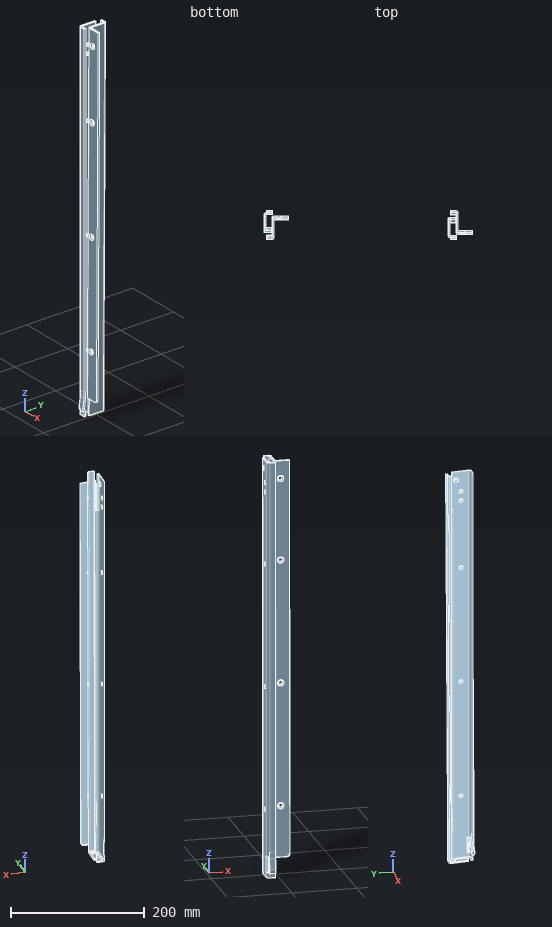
import cadquery as cq
import math

rail_length = 650.0
sheet = 3.0
overall_width = 36.5
overall_depth = 43.07

channel_lift = 0.08
lip_bend_radius = 2.5
bend_radius = 4.0
inner_bend_radius = bend_radius - sheet
inner_lip_bend_radius = 0.4
strap_height = 2.6
channel_front = strap_height
channel_back = 33.0
lip_front = channel_back - sheet
flange_back = channel_front + sheet
flange_end = 13.0
lip_end = 11.8
lip_top = rail_length - 62.0
plain_plate_back = 32.4

hole_pitch = 192.0
first_mount_hole_z = 104.0
pitch_heights = [first_mount_hole_z + i * hole_pitch for i in range(3)]

mount_hole_diameter = 6.0
mount_hole_y = 18.0
mount_hole_heights = pitch_heights + [600.3, 615.6]
top_hole_diameter = 7.4
top_hole_y = 25.9
top_hole_z = 635.5

formed_left = sheet + 0.5
dip_bottom = 47.0
dip_top = 86.0
dip_middle = (dip_bottom + dip_top) / 2
dip_depth = 5.0

window_bottom = 8.0
window_top = 33.0
window_back = 9.0
strap_bottom = 7.0
strap_crest = 13.0
strap_kink = 30.5
strap_kink_height = 0.4
strap_top = 40.5

lean_angle = 0.293
wall_left = 12.0
wall_right = wall_left + sheet
back_flange_left = 4.0
carrier_depth = 32.3
carrier_bend_radius = 3.5
foot_bend_radius = 2.9
foot_bottom = 30.0
foot_corner_radius = 5.0
foot_hole_x = 22.5
foot_hole_diameter = 5.5
countersink_diameter = 10.0
foot_hole_offset = 6.7
top_foot_hole_z = 622.3
foot_hole_heights = [z + foot_hole_offset for z in pitch_heights] + [top_foot_hole_z]

overcut = 1.0
pick_margin = 0.1


def box(x0, x1, y0, y1, z0, z1):
    return cq.Workplane("XY").box(x1 - x0, y1 - y0, z1 - z0, centered=False).translate((x0, y0, z0))


def upright_edge_at(x, y):
    """Selector for the full-length upright edge at the given X and Y."""
    low = (x - pick_margin, y - pick_margin, 0)
    high = (x + pick_margin, y + pick_margin, rail_length)
    return cq.selectors.BoxSelector(low, high)


def extrude_along_x(side_points, x0, x1):
    """Prism between x0 and x1 over a closed outline of (Y, Z) points."""
    return cq.Workplane("YZ", origin=(x0, 0, 0)).polyline(side_points).close().extrude(x1 - x0)


def make_channel_profile():
    plate = box(0, sheet, channel_front, channel_back, 0, lip_top)
    lip = box(0, lip_end, lip_front, channel_back, 0, lip_top)
    plain_plate = box(0, sheet, channel_front, plain_plate_back, lip_top, rail_length)
    flange = box(0, flange_end, channel_front, flange_back, 0, rail_length)
    profile = plate.union(lip)
    profile = profile.edges(upright_edge_at(0, channel_back)).fillet(lip_bend_radius)
    profile = profile.edges(upright_edge_at(sheet, lip_front)).fillet(inner_lip_bend_radius)
    profile = profile.union(plain_plate).union(flange)
    profile = profile.edges(upright_edge_at(0, channel_front)).fillet(bend_radius)
    return profile.edges(upright_edge_at(sheet, flange_back)).fillet(inner_bend_radius)


def plate_hole(diameter, y, z):
    hole = cq.Workplane("YZ", origin=(-overcut, 0, 0)).center(y, z).circle(diameter / 2)
    return hole.extrude(sheet + 2 * overcut)


def make_dip():
    side_points = [
        (channel_back, dip_bottom),
        (channel_back - dip_depth, dip_middle),
        (channel_back, dip_top),
        (lip_front, dip_top),
        (lip_front - dip_depth, dip_middle),
        (lip_front, dip_bottom),
    ]
    return extrude_along_x(side_points, formed_left, lip_end)


def make_strap():
    arc_drop = strap_crest - strap_bottom
    arc_radius = (arc_drop**2 + strap_height**2) / (2 * strap_height)
    half_angle = math.asin(arc_drop / arc_radius) / 2
    arc_middle_y = arc_radius * (1 - math.cos(half_angle))
    arc_middle_z = strap_crest - arc_radius * math.sin(half_angle)
    side = (
        cq.Workplane("YZ", origin=(formed_left, 0, 0))
        .moveTo(channel_front, strap_top)
        .lineTo(channel_front - strap_kink_height, strap_kink)
        .lineTo(0, strap_crest)
        .threePointArc((arc_middle_y, arc_middle_z), (channel_front, strap_bottom))
        .lineTo(flange_back, strap_bottom)
        .lineTo(sheet, strap_crest)
        .lineTo(flange_back - strap_kink_height, strap_kink)
        .lineTo(flange_back, strap_top)
        .close()
    )
    return side.extrude(flange_end - formed_left)


def make_channel():
    body = make_channel_profile()
    for z in mount_hole_heights:
        body = body.cut(plate_hole(mount_hole_diameter, mount_hole_y, z))
    body = body.cut(plate_hole(top_hole_diameter, top_hole_y, top_hole_z))

    body = body.cut(box(formed_left, lip_end, lip_front, channel_back, dip_bottom, dip_top))
    body = body.union(make_dip())

    window = box(-overcut, formed_left, 0, window_back, window_bottom, window_top)
    flange_gap = box(formed_left, flange_end, channel_front, flange_back, strap_bottom, strap_top)
    body = body.cut(window).cut(flange_gap).union(make_strap())
    return body.translate((0, 0, channel_lift))


def make_carrier_profile():
    wall = box(wall_left, wall_right, 0, carrier_depth, foot_bottom, rail_length)
    short_wall = box(wall_left, wall_right, sheet, carrier_depth, 0, foot_bottom)
    back_flange = box(back_flange_left, wall_right, carrier_depth - sheet, carrier_depth, 0, rail_length)
    foot = box(wall_left, overall_width, 0, sheet, foot_bottom, rail_length)
    foot = foot.edges("|Y and >X and <Z").fillet(foot_corner_radius)
    profile = wall.union(short_wall).union(back_flange).union(foot)
    profile = profile.edges(upright_edge_at(wall_right, carrier_depth)).fillet(carrier_bend_radius)
    return profile.edges(upright_edge_at(wall_left, 0)).fillet(foot_bend_radius)


def countersunk_hole(z):
    """Foot hole with a 90 degree countersink on the front face."""
    front = cq.Vector(foot_hole_x, 0, z)
    inward = cq.Vector(0, 1, 0)
    hole_radius = foot_hole_diameter / 2
    sink_radius = countersink_diameter / 2
    cone = cq.Solid.makeCone(sink_radius, hole_radius, sink_radius - hole_radius, front, inward)
    bore = cq.Solid.makeCylinder(hole_radius, sheet + overcut, front, inward)
    return cq.Workplane(cone).union(cq.Workplane(bore))


def make_carrier():
    body = make_carrier_profile()
    for z in foot_hole_heights:
        body = body.cut(countersunk_hole(z))
    body = body.translate((0, -carrier_depth, 0)).rotate((0, 0, 0), (1, 0, 0), -lean_angle)
    top_shift = rail_length * math.sin(math.radians(lean_angle))
    return body.translate((0, overall_depth - top_shift, 0))


channel = make_channel()
carrier = make_carrier()
result = cq.Compound.makeCompound([channel.val(), carrier.val()])